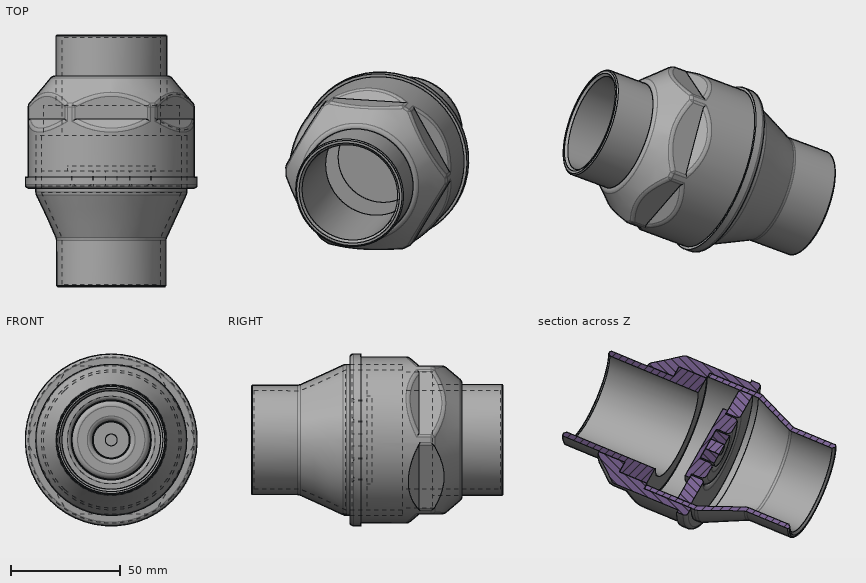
import cadquery as cq
import math

LENGTH = 115.0

SOCKET_R = 50.0 / 2
BORE_R = 45.0 / 2
PIPE_CHAMFER = 0.6
MOUTH_R = 23.6
MOUTH_DEPTH = 1.2
COLLAR_R = 34.5
CONE_START = 21.8
CONE_END = 42.5
CONE_FILLET = 3.1
COLLAR_FILLET = 3.7
COLLAR_END = 69.0

NUT_R = 38.0
NUT_FRONT = 45.0
NUT_REAR = 96.3
FLANGE_R = 78.5 / 2
FLANGE_WIDTH = 5.1
FLANGE_FILLET = 1.7
NUT_REAR_R = 26.9
NUT_TAPER = 40.0
NUT_REAR_FILLET = 2.9

FLATS = 6
FLAT_DISTANCE = 33.8
FLAT_START = 76.6
FLAT_FILLET = 2.9
SEAM_TURN = 180 / FLATS

TAIL_R = 50.7 / 2
TAIL_FLANGE_R = 31.0
TAIL_FLANGE_END = 82.8

SEAT_FRONT = 46.0
SEAT_WIDTH = 6.9
SEAT_BORE_R = 36.6 / 2
SEAT_FILLET = 1.7

DISC_R = 35.8 / 2
DISC_FILLET = 2.5
DISC_FLANGE_R = 40.0 / 2
DISC_FLANGE_WIDTH = 2.3
DISC_HOLE_R = 8.6
DISC_HOLE_FILLET = 2.3
BUTTON_R = 16.5 / 2
PIN_R = 5.4 / 2

TAPER_RATIO = math.tan(math.radians(NUT_TAPER))
WALL = SOCKET_R - BORE_R
CAVITY_R = COLLAR_R - WALL
SEAT_REAR = SEAT_FRONT + SEAT_WIDTH
TAPER_START = NUT_REAR - (NUT_R - NUT_REAR_R) / TAPER_RATIO
CONE_ANGLE = math.atan2(COLLAR_R - SOCKET_R, CONE_END - CONE_START)
INNER_SHIFT = WALL * math.tan(CONE_ANGLE / 2)
TOLERANCE = 0.01


def turned(points):
    """Solid of revolution about Y from (radius, y) points."""
    return cq.Workplane("XY").polyline(points).close().revolve(360, (0, 0), (0, 1))


def round_edge(body, radius, y):
    """The circular edge of a turned body with this radius at this place along Y."""
    def matches(edge):
        return abs(edge.radius() - radius) < TOLERANCE and abs(edge.Center().y - y) < TOLERANCE

    return body.edges("%CIRCLE").filter(matches)


def make_front_body():
    body = turned([
        (MOUTH_R, 0),
        (SOCKET_R - PIPE_CHAMFER, 0),
        (SOCKET_R, PIPE_CHAMFER),
        (SOCKET_R, CONE_START),
        (COLLAR_R, CONE_END),
        (COLLAR_R, COLLAR_END),
        (CAVITY_R, COLLAR_END),
        (CAVITY_R, CONE_END + INNER_SHIFT),
        (BORE_R, CONE_START + INNER_SHIFT),
        (BORE_R, MOUTH_DEPTH),
    ])
    body = round_edge(body, SOCKET_R, CONE_START).fillet(CONE_FILLET)
    body = round_edge(body, BORE_R, CONE_START + INNER_SHIFT).fillet(CONE_FILLET)
    return round_edge(body, COLLAR_R, CONE_END).fillet(COLLAR_FILLET)


def flat_cutter():
    """Tool for one wrench flat on the +Z side: a flat floor with a sloped run-out at its front."""
    height = NUT_R
    profile = [
        (FLAT_START, FLAT_DISTANCE),
        (LENGTH, FLAT_DISTANCE),
        (LENGTH, FLAT_DISTANCE + height),
        (FLAT_START - height / TAPER_RATIO, FLAT_DISTANCE + height),
    ]
    return cq.Workplane("YZ").polyline(profile).close().extrude(NUT_R, both=True)


def flat_rims(blank):
    """Edges around the wrench flats and across the strips between them, without the run-out creases."""
    def is_rim(edge):
        ends = (edge.startPoint().y, edge.endPoint().y)
        in_range = min(ends) > FLAT_START - TOLERANCE and max(ends) < TAPER_START + TOLERANCE
        is_crease = edge.geomType() == "LINE" and max(ends) - min(ends) < TOLERANCE
        return in_range and not is_crease

    return blank.edges().filter(is_rim)


def make_nut():
    flange_end = NUT_FRONT + FLANGE_WIDTH
    blank = turned([
        (0, NUT_FRONT),
        (FLANGE_R, NUT_FRONT),
        (FLANGE_R, flange_end),
        (NUT_R, flange_end),
        (NUT_R, TAPER_START),
        (NUT_REAR_R, NUT_REAR),
        (0, NUT_REAR),
    ])
    blank = round_edge(blank, NUT_REAR_R, NUT_REAR).fillet(NUT_REAR_FILLET)
    blank = round_edge(blank, FLANGE_R, NUT_FRONT).fillet(FLANGE_FILLET)
    blank = blank.rotate((0, 0, 0), (0, 1, 0), SEAM_TURN)
    for index in range(FLATS):
        blank = blank.cut(flat_cutter().rotate((0, 0, 0), (0, 1, 0), index * 360 / FLATS))
    blank = flat_rims(blank).fillet(FLAT_FILLET)
    bore = turned([
        (0, NUT_FRONT),
        (COLLAR_R, NUT_FRONT),
        (COLLAR_R, COLLAR_END),
        (TAIL_FLANGE_R, COLLAR_END),
        (TAIL_FLANGE_R, TAIL_FLANGE_END),
        (TAIL_R, TAIL_FLANGE_END),
        (TAIL_R, NUT_REAR),
        (0, NUT_REAR),
    ])
    return blank.cut(bore)


def make_tail_piece():
    return turned([
        (BORE_R, COLLAR_END),
        (TAIL_FLANGE_R, COLLAR_END),
        (TAIL_FLANGE_R, TAIL_FLANGE_END),
        (TAIL_R, TAIL_FLANGE_END),
        (TAIL_R, LENGTH - PIPE_CHAMFER),
        (TAIL_R - PIPE_CHAMFER, LENGTH),
        (MOUTH_R, LENGTH),
        (BORE_R, LENGTH - MOUTH_DEPTH),
    ])


def ring(inner_r, outer_r):
    """Ring, or a plain disc when inner_r is 0, in line with the seat."""
    profile = cq.Workplane("XZ", origin=(0, SEAT_REAR, 0)).circle(outer_r)
    if inner_r > 0:
        profile = profile.circle(inner_r)
    return profile.extrude(SEAT_WIDTH)


def make_seat_ring():
    seat = ring(SEAT_BORE_R, CAVITY_R)
    return round_edge(seat, SEAT_BORE_R, SEAT_FRONT).fillet(SEAT_FILLET)


def make_disc():
    """Disc with a blind recess for the button; its rear flange closes the seat from behind."""
    flange = cq.Workplane("XZ", origin=(0, SEAT_REAR + DISC_FLANGE_WIDTH, 0))
    flange = flange.circle(DISC_FLANGE_R).extrude(DISC_FLANGE_WIDTH)
    disc = ring(DISC_HOLE_R, DISC_R).union(flange)
    disc = round_edge(disc, DISC_R, SEAT_FRONT).fillet(DISC_FILLET)
    return round_edge(disc, DISC_HOLE_R, SEAT_FRONT).fillet(DISC_HOLE_FILLET)


front_body = make_front_body()
nut = make_nut()
tail_piece = make_tail_piece()
seat_ring = make_seat_ring()
valve_disc = make_disc()
button = ring(PIN_R, BUTTON_R)
pin = ring(0, PIN_R)

result = cq.Compound.makeCompound([
    front_body.solids().val(),
    nut.solids().val(),
    tail_piece.solids().val(),
    seat_ring.solids().val(),
    valve_disc.solids().val(),
    button.solids().val(),
    pin.solids().val(),
])